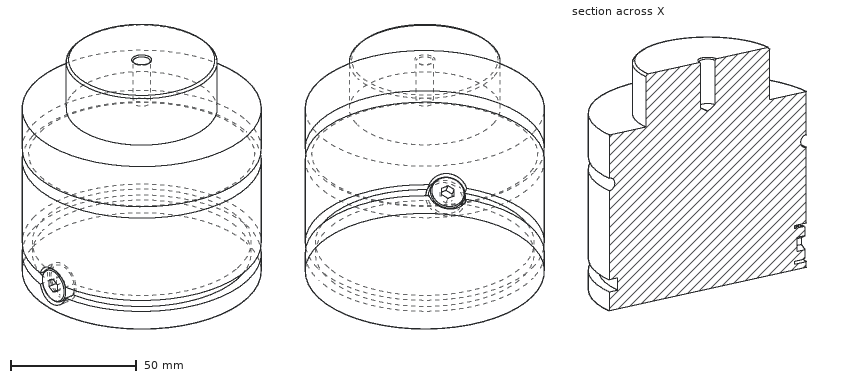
import cadquery as cq
import math

total_height = 96.0
body_height = 73.9
body_diameter = 95.0
body_radius = body_diameter / 2
shaft_diameter = 60.0
shaft_edge_chamfer = 1.0

round_groove_height = 53.1
round_groove_radius = 2.6

square_groove_bottom = 8.1
square_groove_width = 5.0
square_groove_depth = 4.0
square_groove_floor_radius = body_radius - square_groove_depth

plug_height = square_groove_bottom + square_groove_width / 2
plug_diameter = 14.0
plug_edge_chamfer = 0.5
plug_face_setback = 0.7
recess_diameter = 16.0
recess_depth = 5.8
socket_flats = 5.0
socket_depth = 3.8

hole_diameter = 6.8
hole_mouth_chamfer = 0.6
hole_depth = 19.2
mouth_angle = 90
drill_tip_angle = 118


def ring_cutter(bottom, width, inner_radius):
    """Square-section ring reaching beyond the body surface."""
    return (
        cq.Workplane("XY")
        .workplane(offset=bottom)
        .circle(body_diameter)
        .circle(inner_radius)
        .extrude(width)
    )


def plug_axis_plane(depth):
    """Plane facing -Y, the given depth below the front of the body."""
    return cq.Workplane("XZ", origin=(0, depth - body_radius, plug_height))


def make_body():
    body = cq.Workplane("XY").circle(body_radius).extrude(body_height)
    shaft = (
        cq.Workplane("XY")
        .circle(shaft_diameter / 2)
        .extrude(total_height)
        .faces(">Z")
        .chamfer(shaft_edge_chamfer)
    )
    round_groove = cq.Workplane("XY").add(
        cq.Solid.makeTorus(body_radius, round_groove_radius, cq.Vector(0, 0, round_groove_height))
    )
    square_groove = ring_cutter(square_groove_bottom, square_groove_width, square_groove_floor_radius)
    return body.union(shaft).cut(round_groove).cut(square_groove)


def add_plug(body):
    recess = plug_axis_plane(recess_depth).circle(recess_diameter / 2).extrude(2 * recess_depth)
    plug = (
        plug_axis_plane(recess_depth)
        .circle(plug_diameter / 2)
        .extrude(recess_depth - plug_face_setback)
        .faces("<Y")
        .chamfer(plug_edge_chamfer)
    )
    socket = (
        plug_axis_plane(plug_face_setback)
        .polygon(6, socket_flats, circumscribed=True)
        .extrude(-socket_depth)
    )
    return body.cut(recess).union(plug).cut(socket)


def cut_shaft_hole(body):
    return (
        body.faces(">Z")
        .workplane(origin=(0, 0, total_height))
        .cskHole(hole_diameter, hole_diameter + 2 * hole_mouth_chamfer, mouth_angle, hole_depth)
        .cut(drill_tip())
    )


def drill_tip():
    """Cone that ends the blind hole."""
    tip_height = hole_diameter / 2 / math.tan(math.radians(drill_tip_angle / 2))
    cone = cq.Solid.makeCone(
        hole_diameter / 2, 0, tip_height, cq.Vector(0, 0, total_height - hole_depth), cq.Vector(0, 0, -1)
    )
    return cq.Workplane("XY").add(cone)


result = cut_shaft_hole(add_plug(make_body()))